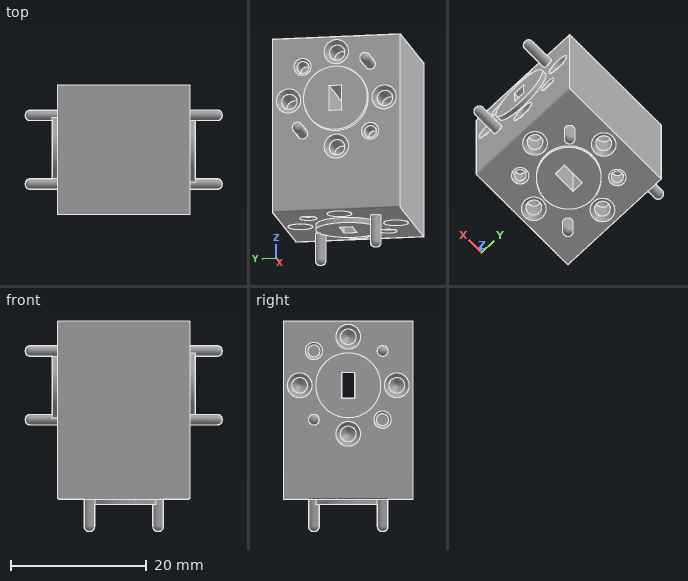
import cadquery as cq
import math

BODY_X = 19.5
BODY_Y = 19.1
BODY_Z = 26.25
PORT_BELOW_TOP = 9.5
EDGE_FILLET = 0.25
BOTTOM_Z = PORT_BELOW_TOP - BODY_Z

GUIDE_NARROW = 1.9
GUIDE_BROAD = 3.75

BOSS_DIAMETER = 9.55
BOSS_HEIGHT = 0.78
BOLT_CIRCLE_DIAMETER = 14.3
SCREW_ANGLES = (0, 90, 180, 270)
PIN_ANGLES = (45, 225)
SOCKET_ANGLES = (135, 315)

PIN_DIAMETER = 1.58
PIN_LENGTH = 4.75
PIN_TIP_FILLET = 0.7
SOCKET_DIAMETER = 1.77
SOCKET_MOUTH_DIAMETER = 2.55
SOCKET_DEPTH = 3.72

SCREW_DIAMETER = 2.3
SCREW_MOUTH_DIAMETER = 3.63
SCREW_DEPTH = 4.95
COUNTERSINK_ANGLE = 90
DRILL_POINT_ANGLE = 118

LEFT_PORT = cq.Plane(origin=(-BODY_X / 2, 0, 0), xDir=(0, -1, 0), normal=(-1, 0, 0))
RIGHT_PORT = cq.Plane(origin=(BODY_X / 2, 0, 0), xDir=(0, 1, 0), normal=(1, 0, 0))
BOTTOM_PORT = cq.Plane(origin=(0, 0, BOTTOM_Z), xDir=(0, 1, 0), normal=(0, 0, -1))
PORTS = (LEFT_PORT, RIGHT_PORT, BOTTOM_PORT)


def bolt_circle_points(angles):
    """Points on the bolt circle at the given angles from the port's local X."""
    radius = BOLT_CIRCLE_DIAMETER / 2
    radians = [math.radians(angle) for angle in angles]
    return [(radius * math.cos(angle), radius * math.sin(angle)) for angle in radians]


def cone_height(diameter, included_angle):
    """Height over which a cone of the given included angle narrows by a diameter."""
    return diameter / 2 / math.tan(math.radians(included_angle / 2))


def make_block():
    block = cq.Workplane("XY").workplane(offset=BOTTOM_Z).rect(BODY_X, BODY_Y).extrude(BODY_Z)
    return block.edges("|Y").fillet(EDGE_FILLET)


def make_boss(port):
    return cq.Workplane(port).circle(BOSS_DIAMETER / 2).extrude(BOSS_HEIGHT)


def make_pins(port):
    pins = cq.Workplane(port).pushPoints(bolt_circle_points(PIN_ANGLES))
    pins = pins.circle(PIN_DIAMETER / 2).extrude(PIN_LENGTH)
    outermost = cq.selectors.DirectionMinMaxSelector(port.zDir)
    return pins.faces(outermost).edges().fillet(PIN_TIP_FILLET)


def make_holes(port, angles, diameter, mouth_diameter, depth, point_height):
    """Tools for countersunk blind holes; a point height of zero gives a flat floor."""
    sink = cone_height(mouth_diameter - diameter, COUNTERSINK_ANGLE)
    profile = [
        (0, 0),
        (mouth_diameter / 2, 0),
        (diameter / 2, -sink),
        (diameter / 2, -depth),
        (0, -depth - point_height),
    ]
    tool = cq.Workplane("XZ").polyline(profile).close().revolve(360, (0, 0), (0, 1)).val()
    holes = cq.Workplane(port).pushPoints(bolt_circle_points(angles))
    return holes.eachpoint(tool.moved, useLocalCoordinates=True)


def make_waveguide():
    """Straight channel between the side ports with a branch down to the bottom port."""
    through = cq.Workplane("XY").box(BODY_X + 2 * BOSS_HEIGHT, GUIDE_NARROW, GUIDE_BROAD)
    branch = cq.Workplane("XY").rect(GUIDE_BROAD, GUIDE_NARROW).extrude(BOTTOM_Z - BOSS_HEIGHT)
    return through.union(branch)


def make_screw_holes(port):
    point_height = cone_height(SCREW_DIAMETER, DRILL_POINT_ANGLE)
    return make_holes(
        port, SCREW_ANGLES, SCREW_DIAMETER, SCREW_MOUTH_DIAMETER, SCREW_DEPTH, point_height
    )


def make_pin_sockets(port):
    return make_holes(
        port, SOCKET_ANGLES, SOCKET_DIAMETER, SOCKET_MOUTH_DIAMETER, SOCKET_DEPTH, point_height=0
    )


body = make_block()
for port in PORTS:
    body = body.union(make_boss(port)).union(make_pins(port))
    body = body.cut(make_screw_holes(port)).cut(make_pin_sockets(port))
body = body.cut(make_waveguide())

result = cq.Workplane("XY").newObject([body.solids().val()])